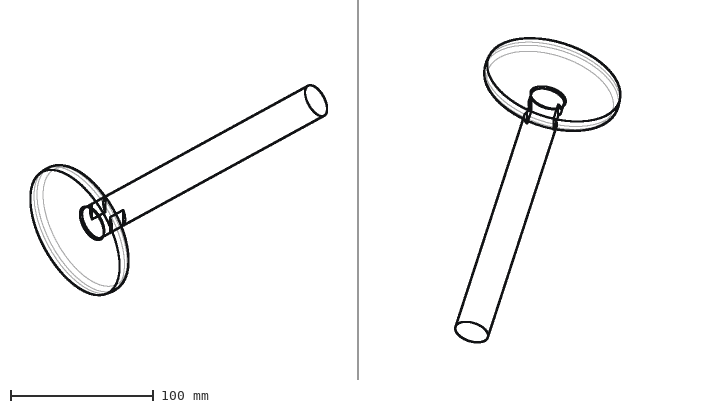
import cadquery as cq

total_length = 222.0
stem_diameter = 24.0
foot_diameter = 98.0

underside_radius = 48.5
rim_height = 4.0
rim_top_height = 6.7
rim_top_radius = 48.8
shoulder_height = 9.8
shoulder_radius = 46.0
shoulder_mid_height = 8.9
shoulder_mid_radius = 47.7
cone_top_height = 15.5

neck_flare_width = 0.9
neck_flare_height = 1.3

flats_start = 24.0
flats_length = 12.2
across_flats = 19.3

stem_radius = stem_diameter / 2
foot_radius = foot_diameter / 2
neck_radius = stem_radius + neck_flare_width


def make_body():
    """Revolve the foot and stem together about the Y axis."""
    profile = (
        cq.Workplane("XY")
        .lineTo(underside_radius, 0)
        .lineTo(foot_radius, rim_height)
        .lineTo(rim_top_radius, rim_top_height)
        .threePointArc((shoulder_mid_radius, shoulder_mid_height), (shoulder_radius, shoulder_height))
        .lineTo(neck_radius, cone_top_height)
        .lineTo(stem_radius, cone_top_height + neck_flare_height)
        .lineTo(stem_radius, total_length)
        .lineTo(0, total_length)
        .close()
    )
    return profile.revolve(360, (0, 0, 0), (0, 1, 0))


def make_flat_cutter(side):
    """Block that removes one wrench flat on the given X side (+1 or -1)."""
    center_x = side * (across_flats + stem_diameter) / 2
    center_y = flats_start + flats_length / 2
    block = cq.Workplane("XY").box(stem_diameter, flats_length, stem_diameter)
    return block.translate((center_x, center_y, 0))


result = make_body()
for side in (-1, 1):
    result = result.cut(make_flat_cutter(side))